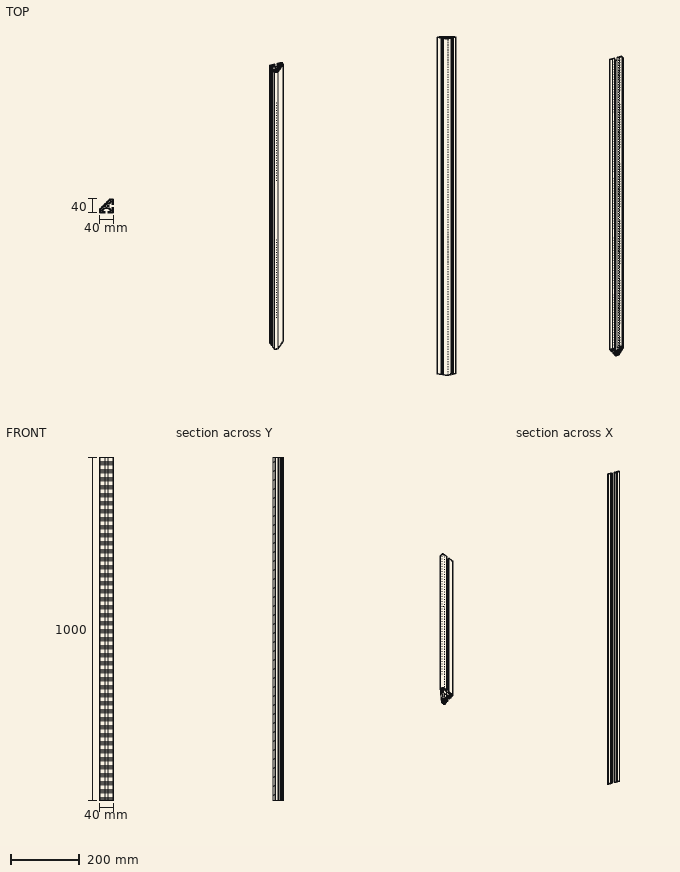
import cadquery as cq
import math

LENGTH = 1000.0
SIZE = 40.0
HALF = SIZE / 2
CORNER_RADIUS = 2.5

SLOPE_OFFSET = 11.0
SLOPE_WALL = 2.5
INNER_SLOPE_OFFSET = SLOPE_OFFSET - SLOPE_WALL * math.sqrt(2)

SLOT_OPENING = 8.0
SLOT_DEPTH = 12.25
CHAMBER_WIDTH = 22.0
FLOOR_WIDTH = 11.5
LIP_THICKNESS = 4.5
UNDERCUT_START = 7.5
UNDERCUT_DEPTH = 1.0

CORE_HALF = HALF - SLOT_DEPTH
CHAMBER_HALF = CHAMBER_WIDTH / 2
FLOOR_HALF = FLOOR_WIDTH / 2
LIP_INNER = HALF - LIP_THICKNESS
WEB_OFFSET = CORE_HALF - FLOOR_HALF

CORE_BORE_DIAMETER = 6.8
CORNER_HOLE_DIAMETER = 5.0
CORNER_HOLE_INSET = 5.0


def prism(outline):
    """Full-length prism over a closed polygon in the XY plane."""
    return cq.Workplane("XY").polyline(outline).close().extrude(LENGTH)


def mirrored(shape):
    """Copy of a shape reflected across the symmetry line y = -x."""
    return shape.mirror("YZ").rotate((0, 0, 0), (0, 0, 1), 90)


def make_body():
    """Solid bar with its three square corners rounded and the ends of the slope left sharp."""
    body = prism([
        (-HALF, -HALF),
        (HALF, -HALF),
        (HALF, HALF),
        (HALF - SLOPE_OFFSET, HALF),
        (-HALF, SLOPE_OFFSET - HALF),
    ])
    sharp_corners = [(-HALF, -HALF), (HALF, -HALF), (HALF, HALF)]
    for x, y in sharp_corners:
        corner = cq.selectors.NearestToPointSelector((x, y, LENGTH / 2))
        body = body.edges(corner).fillet(CORNER_RADIUS)
    return body


def make_slot():
    """Cutter for the -Y T-slot: narrow opening, undercut lips and a floor with tapered sides."""
    undercut_y = -LIP_INNER - UNDERCUT_DEPTH
    right_half = [
        (SLOT_OPENING / 2, -HALF),
        (SLOT_OPENING / 2, -LIP_INNER),
        (UNDERCUT_START, -LIP_INNER),
        (UNDERCUT_START, undercut_y),
        (CHAMBER_HALF, undercut_y),
        (CHAMBER_HALF, -CHAMBER_HALF - WEB_OFFSET),
        (FLOOR_HALF, -CORE_HALF),
    ]
    left_half = [(-x, y) for x, y in reversed(right_half)]
    return prism(right_half + left_half)


def make_side_cavity():
    """Cutter for the closed cavity on the -X side, between the core, a web and the sloping wall."""
    return prism([
        (-CORE_HALF, INNER_SLOPE_OFFSET - CORE_HALF),
        (-CORE_HALF, -FLOOR_HALF),
        (-CHAMBER_HALF - WEB_OFFSET, -CHAMBER_HALF),
        (-LIP_INNER, -CHAMBER_HALF),
        (-LIP_INNER, INNER_SLOPE_OFFSET - LIP_INNER),
    ])


def make_holes():
    """Cutters for the core bore and the hole inside each square corner."""
    inset = HALF - CORNER_HOLE_INSET
    centers = [(-inset, -inset), (inset, -inset), (inset, inset)]
    bore = cq.Workplane("XY").circle(CORE_BORE_DIAMETER / 2).extrude(LENGTH)
    corner_holes = cq.Workplane("XY").pushPoints(centers).circle(CORNER_HOLE_DIAMETER / 2).extrude(LENGTH)
    return bore.union(corner_holes)


result = make_body().cut(make_holes())
for cutter in (make_slot(), make_side_cavity()):
    result = result.cut(cutter).cut(mirrored(cutter))